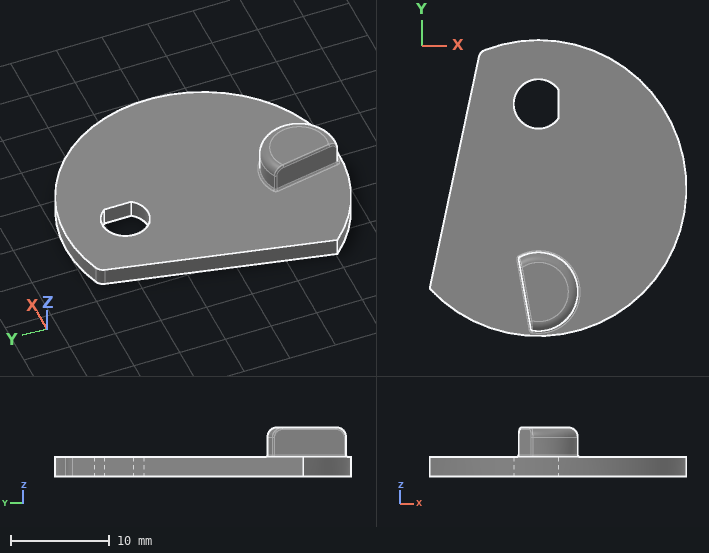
import cadquery as cq
import math

plate_radius = 15.0
plate_thickness = 2.0
plate_flat_distance = 8.65
plate_flat_angle = 12.0
plate_corner_radius = 1.0

hole_radius = 2.5
hole_center_y = 8.5
hole_flat_distance = 2.0

boss_radius = 4.0
boss_height = 3.0
boss_center_y = -10.5
boss_flat_distance = 1.4
boss_flat_angle = 10.0
boss_crown_radius = 1.0
boss_edge_radius = 0.2
boss_foot_radius = 0.2


def d_prism(radius, flat_distance, height, flat_direction):
    """Cylinder on the XY plane, cut by a flat facing flat_direction (degrees from +X)."""
    half_chord = math.sqrt(radius**2 - flat_distance**2)
    prism = (
        cq.Workplane("XY")
        .moveTo(flat_distance, -half_chord)
        .lineTo(flat_distance, half_chord)
        .threePointArc((-radius, 0), (flat_distance, -half_chord))
        .close()
        .extrude(height)
    )
    return prism.rotate((0, 0, 0), (0, 0, 1), flat_direction)


def make_plate():
    plate = d_prism(plate_radius, plate_flat_distance, plate_thickness, 180 - plate_flat_angle)
    return plate.edges("|Z").edges(">Y").fillet(plate_corner_radius)


def make_hole():
    hole = d_prism(hole_radius, hole_flat_distance, plate_thickness, 0)
    return hole.translate((0, hole_center_y, 0))


def make_boss():
    boss = d_prism(boss_radius, boss_flat_distance, boss_height, 0)
    boss = boss.faces(">Z").edges("%CIRCLE").fillet(boss_crown_radius)
    boss = boss.faces(">X").edges("not <Z").fillet(boss_edge_radius)
    boss = boss.rotate((0, 0, 0), (0, 0, 1), 180 + boss_flat_angle)
    return boss.translate((0, boss_center_y, plate_thickness))


def add_foot_fillet(body):
    """Blend the boss walls into the top face of the plate."""
    reach = boss_radius + boss_foot_radius / 2
    foot_zone = cq.selectors.BoxSelector(
        (-reach, boss_center_y - reach, plate_thickness - boss_foot_radius / 2),
        (reach, boss_center_y + reach, plate_thickness + boss_foot_radius / 2),
        boundingbox=True,
    )
    return body.edges(foot_zone).fillet(boss_foot_radius)


result = add_foot_fillet(make_plate().cut(make_hole()).union(make_boss()))